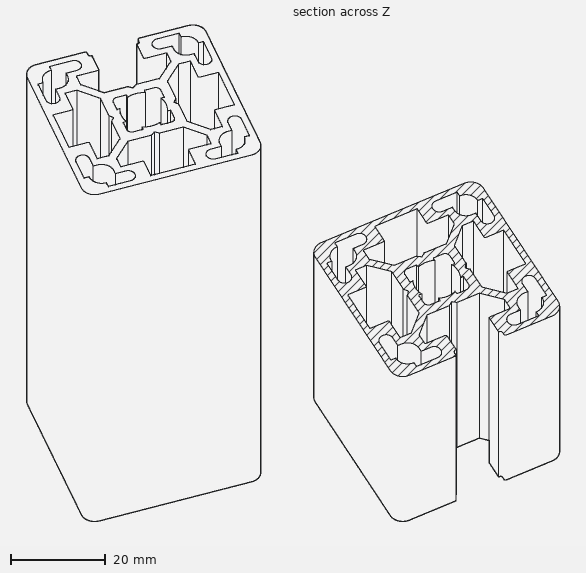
import cadquery as cq
import math

SIDE = 40.0
LENGTH = 100.0
WALL = 1.5
OUTER_RADIUS = 3.0

SLOT_HALF_WIDTH = 5.0
LIP_DEPTH = 14.0
LIP_RADIUS = 0.3
SLOT_CAVITY_HALF_WIDTH = 10.1
SLOT_FLOOR = 7.5
FLANK_OFFSET = 1.3
GROOVE_HALF_WIDTH = 0.9
GROOVE_DEPTH = 0.7

MOUTH_HALF_WIDTH = 5.7
MOUTH_DEPTH = 1.45
MOUTH_RADIUS = 0.42

CORE_HALF_WIDTH = 5.3
CORE_CORNER_RADIUS = 1.1
CORE_PAD_HALF_WIDTH = 2.0
CORE_BORE_RADIUS = 5.0

CORNER_BORE_CENTRE = 14.6
CORNER_BORE_RADIUS = 2.75
CORNER_SLOT_WIDTH = 3.0
CORNER_SLOT_OUTER_END = 14.5
CORNER_SLOT_INNER_END = 8.0
ROUND_END_FRACTION = 0.499

HALF = SIDE / 2
INNER_FACE = HALF - WALL


def prism(sketch):
    """Extrude a closed profile over the full length."""
    return sketch.extrude(LENGTH)


def box_between(x_min, x_max, y_min, y_max):
    """Full-length block between the given X and Y limits."""
    centre = ((x_min + x_max) / 2, (y_min + y_max) / 2)
    return prism(cq.Workplane("XY").center(*centre).rect(x_max - x_min, y_max - y_min))


def turned(shape, angle):
    """Copy of a shape turned about the profile axis."""
    return shape.rotate((0, 0, 0), (0, 0, 1), angle)


def both_halves(half):
    """A +Y half joined with its mirror image across the XZ plane."""
    return half.union(half.mirror("XZ"))


def t_slot():
    """Closed T-slot on the +X side, with rounded lips and a V-groove along its floor."""
    half_outline = (
        cq.Workplane("XY")
        .moveTo(INNER_FACE, 0)
        .lineTo(INNER_FACE, SLOT_HALF_WIDTH)
        .lineTo(LIP_DEPTH + LIP_RADIUS, SLOT_HALF_WIDTH)
        .radiusArc((LIP_DEPTH, SLOT_HALF_WIDTH + LIP_RADIUS), LIP_RADIUS)
        .lineTo(LIP_DEPTH, SLOT_CAVITY_HALF_WIDTH)
        .lineTo(SLOT_CAVITY_HALF_WIDTH + FLANK_OFFSET, SLOT_CAVITY_HALF_WIDTH)
        .lineTo(SLOT_FLOOR, SLOT_FLOOR - FLANK_OFFSET)
        .lineTo(SLOT_FLOOR, GROOVE_HALF_WIDTH)
        .lineTo(SLOT_FLOOR - GROOVE_DEPTH, 0)
        .close()
    )
    return both_halves(prism(half_outline))


def slot_mouth():
    """Opening of the -X slot: a wider recess with rounded edges, then the narrower throat."""
    step_x = -HALF + MOUTH_DEPTH
    throat_end = LIP_DEPTH + LIP_RADIUS
    half_outline = (
        cq.Workplane("XY")
        .moveTo(-HALF, 0)
        .lineTo(-HALF, MOUTH_HALF_WIDTH + MOUTH_RADIUS)
        .radiusArc((-HALF + MOUTH_RADIUS, MOUTH_HALF_WIDTH), -MOUTH_RADIUS)
        .lineTo(step_x - MOUTH_RADIUS, MOUTH_HALF_WIDTH)
        .radiusArc((step_x, MOUTH_HALF_WIDTH - MOUTH_RADIUS), MOUTH_RADIUS)
        .lineTo(step_x, SLOT_HALF_WIDTH)
        .lineTo(-throat_end, SLOT_HALF_WIDTH)
        .lineTo(-throat_end, 0)
        .close()
    )
    return both_halves(prism(half_outline))


def core_hole():
    """Square core hole with a pad on each side, hollowed by a round bore."""
    width = 2 * CORE_HALF_WIDTH
    square = prism(cq.Workplane("XY").rect(width, width)).edges("|Z").fillet(CORE_CORNER_RADIUS)
    bore = prism(cq.Workplane("XY").circle(CORE_BORE_RADIUS))
    pad_reach = math.sqrt(CORE_BORE_RADIUS**2 - CORE_PAD_HALF_WIDTH**2)
    pad = box_between(pad_reach, CORE_HALF_WIDTH, -CORE_PAD_HALF_WIDTH, CORE_PAD_HALF_WIDTH).cut(bore)
    for angle in range(0, 360, 90):
        square = square.cut(turned(pad, angle))
    return square


def corner_cavity():
    """Cavity in the +X +Y corner: a round bore joined to two round-ended slots by square necks."""
    slot_inner = INNER_FACE - CORNER_SLOT_WIDTH
    along_x = box_between(CORNER_SLOT_INNER_END, CORNER_SLOT_OUTER_END, slot_inner, INNER_FACE)
    along_x = along_x.edges("|Z and <X").fillet(ROUND_END_FRACTION * CORNER_SLOT_WIDTH)
    along_y = along_x.mirror("YZ").rotate((0, 0, 0), (0, 0, 1), -90)
    bore = prism(
        cq.Workplane("XY").center(CORNER_BORE_CENTRE, CORNER_BORE_CENTRE).circle(CORNER_BORE_RADIUS)
    )
    bore_side = CORNER_BORE_CENTRE - CORNER_BORE_RADIUS
    neck_x = box_between(bore_side, CORNER_BORE_CENTRE, CORNER_BORE_CENTRE, slot_inner)
    neck_y = box_between(CORNER_BORE_CENTRE, slot_inner, bore_side, CORNER_BORE_CENTRE)
    return bore.union(along_x).union(along_y).union(neck_x).union(neck_y)


profile = prism(cq.Workplane("XY").rect(SIDE, SIDE)).edges("|Z").fillet(OUTER_RADIUS)
for angle in range(0, 360, 90):
    profile = profile.cut(turned(t_slot(), angle)).cut(turned(corner_cavity(), angle))
result = profile.cut(core_hole()).cut(slot_mouth())